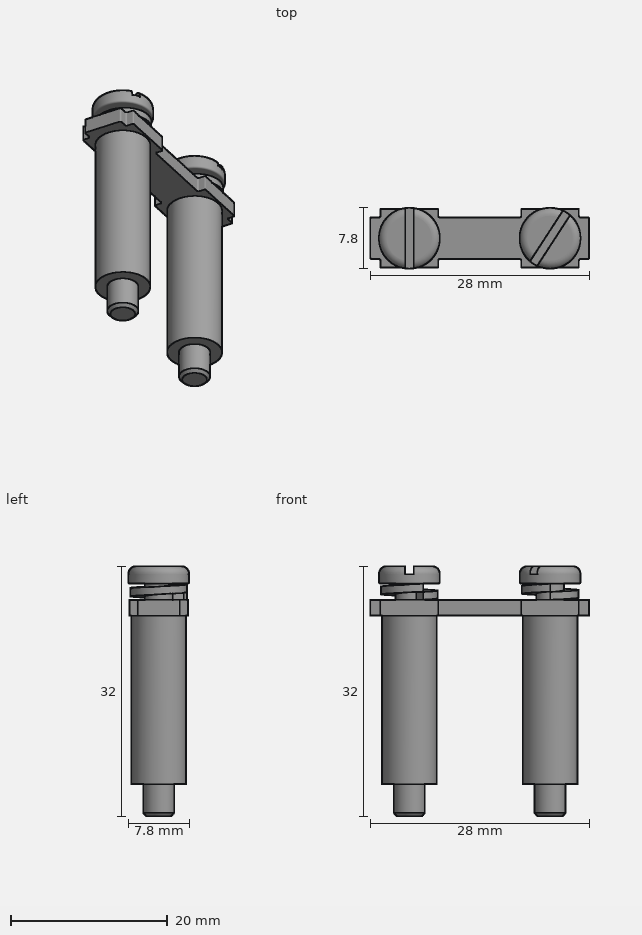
import cadquery as cq

total_height = 32.0
screw_spacing = 18.0

plate_length = 28.0
plate_width = 5.35
plate_top = 27.68
plate_thickness = 2.0
plate_bottom = plate_top - plate_thickness
ear_length = 7.4
ear_width = 7.52
corner_radius = 0.2
ear_corner_radius = 0.13

sleeve_diameter = 7.05
sleeve_bottom = 4.13

head_diameter = 7.8
head_height = 2.25
head_bottom = total_height - head_height
head_top_radius = 1.02
head_bottom_radius = 0.22
slot_width = 1.1
slot_depth = head_top_radius
waist_diameter = 3.6
shank_diameter = 4.0
tip_chamfer_length = 0.45
tip_chamfer_width = 0.4

washer_diameter = 7.3
washer_thickness = 1.0
washer_rise = 1.05
washer_root = 0.15

screw_positions = (-screw_spacing / 2, screw_spacing / 2)
slot_turns = (0.0, -33.0)
washer_split_angles = (-61.0, -90.0)


def cylinder(diameter, bottom, top):
    """Upright cylinder on the Z axis between two heights."""
    return cq.Workplane("XY").workplane(offset=bottom).circle(diameter / 2).extrude(top - bottom)


def make_plate():
    """Flat bar with a wide ear around each screw and small rounds on all upright corners."""
    bar = cq.Workplane("XY").rect(plate_length, plate_width).extrude(plate_thickness)
    bar = bar.edges("|Z").fillet(corner_radius)
    ears = cq.Workplane("XY").pushPoints([(x, 0) for x in screw_positions])
    ears = ears.rect(ear_length, ear_width).extrude(plate_thickness)
    ears = ears.edges("|Z").fillet(ear_corner_radius)
    plate = bar.union(ears)

    box_x = (screw_spacing + ear_length + corner_radius) / 2
    box_y = (plate_width + corner_radius) / 2
    inner_corners = cq.selectors.BoxSelector((-box_x, -box_y, 0), (box_x, box_y, plate_thickness))
    plate = plate.edges("|Z").edges(inner_corners).fillet(corner_radius)
    return plate.translate((0, 0, plate_bottom))


def make_bridge():
    """Plate with a sleeve below each ear, bored through for the screws."""
    bridge = make_plate()
    for x in screw_positions:
        sleeve = cylinder(sleeve_diameter, sleeve_bottom, plate_bottom)
        waist_hole = cylinder(waist_diameter, plate_bottom, plate_top)
        shank_bore = cylinder(shank_diameter, sleeve_bottom, plate_bottom)
        bridge = bridge.union(sleeve.translate((x, 0, 0)))
        bridge = bridge.cut(waist_hole.translate((x, 0, 0)))
        bridge = bridge.cut(shank_bore.translate((x, 0, 0)))
    return bridge


def make_head(slot_turn):
    """Pan head with a slot turned by slot_turn degrees from the Y direction."""
    head = cylinder(head_diameter, head_bottom, total_height)
    head = head.faces(">Z").edges().fillet(head_top_radius)
    head = head.faces("<Z").edges().fillet(head_bottom_radius)
    slot = cq.Workplane("XY").workplane(offset=total_height - slot_depth)
    slot = slot.rect(slot_width, head_diameter).extrude(slot_depth)
    return head.cut(slot.rotate((0, 0, 0), (0, 0, 1), slot_turn))


def make_spring_washer(split_angle):
    """One right-handed turn that starts on the plate and climbs toward the head."""
    inner_radius = waist_diameter / 2 - washer_root
    outer_radius = washer_diameter / 2
    middle_radius = (inner_radius + outer_radius) / 2
    middle_height = washer_thickness / 2
    path = cq.Wire.makeHelix(washer_rise, washer_rise, middle_radius, center=cq.Vector(0, 0, middle_height))
    section = cq.Workplane("XZ").center(middle_radius, middle_height)
    section = section.rect(outer_radius - inner_radius, washer_thickness)
    coil = section.sweep(cq.Workplane(path), isFrenet=True)
    coil = coil.rotate((0, 0, 0), (0, 0, 1), split_angle)
    return coil.translate((0, 0, plate_top))


def make_screw(slot_turn, split_angle):
    """Screw on the Z axis, made in one piece with its spring washer."""
    waist = cylinder(waist_diameter, plate_bottom, head_bottom)
    shank = cylinder(shank_diameter, 0, plate_bottom)
    shank = shank.faces("<Z").chamfer(tip_chamfer_length, tip_chamfer_width)
    washer = make_spring_washer(split_angle)
    return shank.union(waist).union(washer).union(make_head(slot_turn))


bridge = make_bridge()

screws = []
for position, slot_turn, split_angle in zip(screw_positions, slot_turns, washer_split_angles):
    screw = make_screw(slot_turn, split_angle).translate((position, 0, 0))
    screws.append(screw.solids().val())

result = cq.Compound.makeCompound([bridge.val(), *screws])